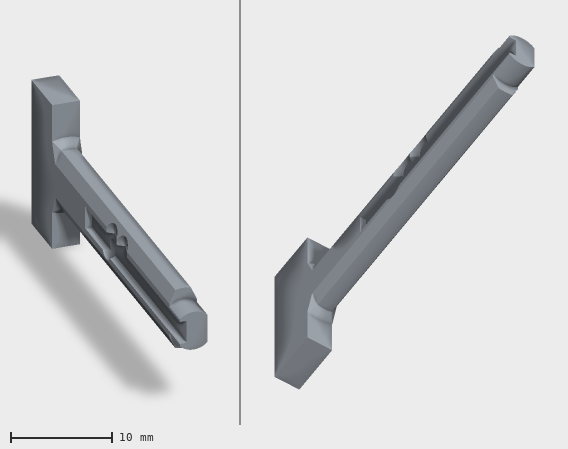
import cadquery as cq
import math

length = 42.55
thickness = 2.95
head_length = 5.95
head_height = 15.9
tip_length = 3.02
bar_end = length - tip_length
front_y = -thickness / 2

bar_radius = 3.3
flat_half_height = 1.85
slope_angle = math.radians(65)
tip_radius = 2.1
neck_size = 0.85

slot_start = 15.45
slot_height = 2.43
slot_depth = 0.72

pit_positions = (23.0, 25.95)
pit_z = 1.55
pit_mouth_radius = 1.5
pit_floor_radius = 0.9
pit_depth = 0.8

dimple_x = 21.5
dimple_z = -0.5
dimple_radius = 1.28
dimple_center_offset = 0.2


def section_plane(x):
    return cq.Workplane("YZ", origin=(x, 0, 0))


def rhombus_points(offset):
    """Corners where the four sloped faces would meet, moved outward by offset."""
    half_height = (
        flat_half_height
        + thickness / 2 * math.tan(slope_angle)
        + offset / math.cos(slope_angle)
    )
    half_width = half_height / math.tan(slope_angle)
    return [(half_width, 0), (0, half_height), (-half_width, 0), (0, -half_height)]


def slab():
    return cq.Workplane().box(length, thickness, head_height, centered=(False, True, True))


def make_bar():
    cylinder = section_plane(head_length).circle(bar_radius).extrude(bar_end - head_length)
    sloped = section_plane(head_length).polyline(rhombus_points(0)).close().extrude(bar_end - head_length)
    return cylinder.intersect(sloped).intersect(slab())


def make_neck():
    cone = (
        section_plane(head_length)
        .circle(bar_radius + neck_size)
        .workplane(offset=neck_size)
        .circle(bar_radius)
        .loft(ruled=True)
    )
    pyramid = (
        section_plane(head_length)
        .polyline(rhombus_points(neck_size))
        .close()
        .workplane(offset=neck_size)
        .polyline(rhombus_points(0))
        .close()
        .loft(ruled=True)
    )
    return cone.intersect(pyramid).intersect(slab())


def make_tip():
    return section_plane(bar_end).circle(tip_radius).extrude(tip_length).intersect(slab())


def make_slot():
    return cq.Workplane(origin=(slot_start, front_y, 0)).box(
        length - slot_start, slot_depth, slot_height, centered=(False, False, True)
    )


def make_pit(x):
    cone = cq.Solid.makeCone(
        pit_mouth_radius,
        pit_floor_radius,
        pit_depth,
        pnt=cq.Vector(x, front_y, pit_z),
        dir=cq.Vector(0, 1, 0),
    )
    return cq.Workplane(cone)


def make_dimple():
    center = (dimple_x, front_y - dimple_center_offset, dimple_z)
    return cq.Workplane(origin=center).sphere(dimple_radius)


head = cq.Workplane().box(head_length, thickness, head_height, centered=(False, True, True))
result = head.union(make_bar()).union(make_neck()).union(make_tip())
result = result.cut(make_slot()).cut(make_dimple())
for pit_x in pit_positions:
    result = result.cut(make_pit(pit_x))